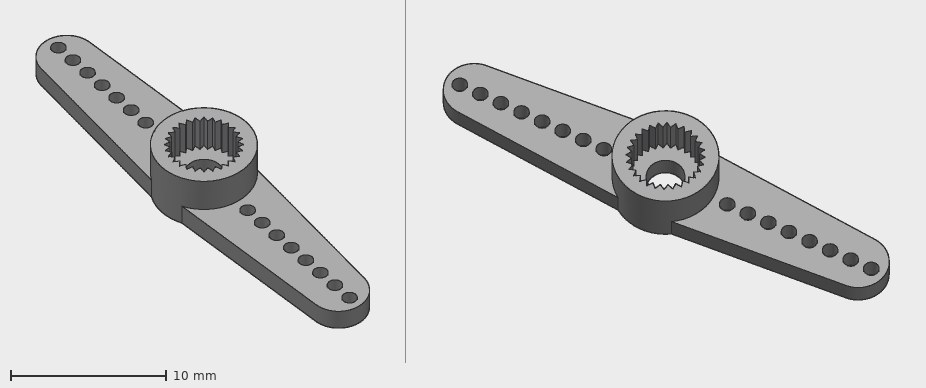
import cadquery as cq
import math

length = 32.0
arm_thickness = 1.5
total_height = 4.0

hub_diameter = 6.9
screw_hole_diameter = 2.5

spline_count = 28
spline_tip_radius = 2.55
spline_root_radius = 2.2
socket_floor = arm_thickness

arm_end_radius = 2.0
arm_half_width_at_hub = 3.1
arm_offset_y = -0.1

link_hole_diameter = 1.0
link_hole_count = 8
link_hole_pitch = 1.5
first_link_hole_x = 4.5


def polar(radius, angle):
    """Point at a radius and an angle in radians about the hub axis."""
    return (radius * math.cos(angle), radius * math.sin(angle))


def make_arms():
    """Flat double arm: straight tapers running tangentially into round ends."""
    end_center_x = length / 2 - arm_end_radius
    center_distance = math.hypot(end_center_x, arm_half_width_at_hub)
    slope_to_center = math.atan2(arm_half_width_at_hub, end_center_x)
    taper = slope_to_center - math.asin(arm_end_radius / center_distance)
    tangent_x = end_center_x + arm_end_radius * math.sin(taper)
    tangent_y = arm_end_radius * math.cos(taper)
    outline = (
        cq.Workplane("XY")
        .center(0, arm_offset_y)
        .moveTo(0, arm_half_width_at_hub)
        .lineTo(tangent_x, tangent_y)
        .threePointArc((length / 2, 0), (tangent_x, -tangent_y))
        .lineTo(0, -arm_half_width_at_hub)
        .lineTo(-tangent_x, -tangent_y)
        .threePointArc((-length / 2, 0), (-tangent_x, tangent_y))
        .close()
    )
    return outline.extrude(arm_thickness)


def make_hub():
    """Plain round hub standing over the full height."""
    return cq.Workplane("XY").circle(hub_diameter / 2).extrude(total_height)


def make_spline_socket():
    """Star-shaped cutter with pointed teeth, from the socket floor to the hub top."""
    half_pitch = math.pi / spline_count
    points = []
    for tooth in range(spline_count):
        tip_angle = 2 * half_pitch * tooth
        points.append(polar(spline_tip_radius, tip_angle))
        points.append(polar(spline_root_radius, tip_angle + half_pitch))
    star = cq.Workplane("XY").workplane(offset=socket_floor).polyline(points).close()
    return star.extrude(total_height - socket_floor)


def make_screw_hole():
    """Through hole on the hub axis."""
    return cq.Workplane("XY").circle(screw_hole_diameter / 2).extrude(total_height)


def make_link_holes():
    """Evenly spaced through holes along both arms."""
    centers = []
    for index in range(link_hole_count):
        x = first_link_hole_x + index * link_hole_pitch
        centers.append((x, 0))
        centers.append((-x, 0))
    return cq.Workplane("XY").pushPoints(centers).circle(link_hole_diameter / 2).extrude(arm_thickness)


result = (
    make_arms()
    .union(make_hub())
    .cut(make_spline_socket())
    .cut(make_screw_hole())
    .cut(make_link_holes())
)